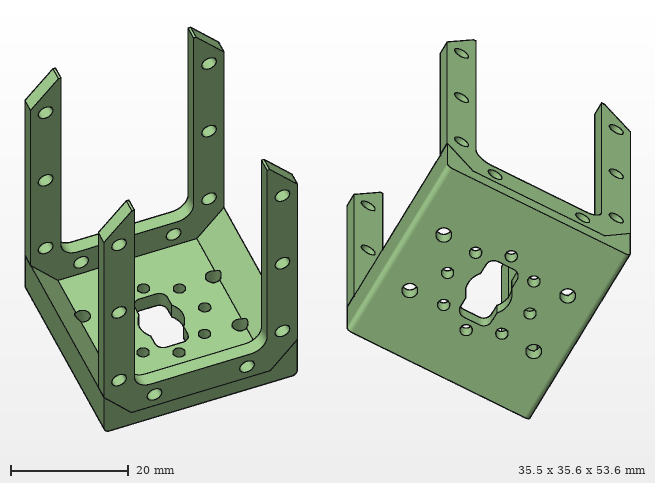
import cadquery as cq

length_x = 35.5
base_width = 35.5
plate_width = 35.6
height = 53.6

floor_height = 3.0
floor_half_width = 12.75
slope_rise = 5.85
bottom_edge_radius = 1.0

plate_thickness = 2.5
leg_tip_y = 12.65
slot_width = 24.35
slot_bottom_height = 8.7
slot_corner_radius = 3.0
plate_hole_diameter = 2.7
plate_hole_pitch = 17.0
low_hole_height = 5.8
leg_hole_y = 15.0
leg_hole_start = 12.05
leg_hole_count = 3

window_length = 12.0
window_width = 6.0
window_corner_radius = 1.5
window_bore_diameter = 8.0
ring_radius = 8.0
ring_hole_diameter = 2.1
ring_hole_count = 8
mount_hole_diameter = 2.7
mount_hole_spacing_x = 12.0
mount_hole_spacing_y = 24.0

plate_half = plate_width / 2
base_half = base_width / 2
slope_run = plate_half - floor_half_width
base_edge_height = floor_height + slope_rise * (base_half - floor_half_width) / slope_run
plate_corner_height = floor_height + slope_rise
leg_shoulder_height = height - slope_rise


def through_base(sketch):
    """Extrude an outline from the underside to well above the raised edges."""
    return sketch.extrude(height)


def make_base():
    body = (
        cq.Workplane("YZ")
        .moveTo(-base_half, 0)
        .lineTo(base_half, 0)
        .lineTo(base_half, base_edge_height)
        .lineTo(floor_half_width, floor_height)
        .lineTo(-floor_half_width, floor_height)
        .lineTo(-base_half, base_edge_height)
        .close()
        .extrude(length_x / 2, both=True)
    )
    body = body.faces("<Z").edges("|X").fillet(bottom_edge_radius)

    plan = cq.Workplane("XY")
    window = through_base(plan.rect(window_length, window_width))
    window = window.edges("|Z").fillet(window_corner_radius)
    bore = through_base(plan.circle(window_bore_diameter / 2))

    ring = through_base(
        plan.polarArray(ring_radius, 0, 360, ring_hole_count).circle(ring_hole_diameter / 2)
    )
    mounts = through_base(
        plan.rect(mount_hole_spacing_x, mount_hole_spacing_y, forConstruction=True)
        .vertices()
        .circle(mount_hole_diameter / 2)
    )
    return body.cut(window).cut(bore).cut(ring).cut(mounts)


def make_side_plate(start_x):
    """U-shaped plate standing on the base, from start_x toward +X."""
    plane = cq.Workplane("YZ", origin=(start_x, 0, 0))
    plate = (
        plane.moveTo(-floor_half_width, floor_height)
        .lineTo(floor_half_width, floor_height)
        .lineTo(plate_half, plate_corner_height)
        .lineTo(plate_half, leg_shoulder_height)
        .lineTo(leg_tip_y, height)
        .lineTo(-leg_tip_y, height)
        .lineTo(-plate_half, leg_shoulder_height)
        .lineTo(-plate_half, plate_corner_height)
        .close()
        .extrude(plate_thickness)
    )

    slot = (
        plane.center(0, slot_bottom_height + height / 2)
        .rect(slot_width, height)
        .extrude(plate_thickness)
        .edges("|X")
        .fillet(slot_corner_radius)
    )
    plate = plate.cut(slot)

    hole_points = []
    for side in (-1, 1):
        hole_points.append((side * plate_hole_pitch / 2, low_hole_height))
        for row in range(leg_hole_count):
            hole_points.append((side * leg_hole_y, leg_hole_start + row * plate_hole_pitch))
    holes = plane.pushPoints(hole_points).circle(plate_hole_diameter / 2).extrude(plate_thickness)
    return plate.cut(holes)


base = make_base()
side_plates = []
for plate_start_x in (-length_x / 2, length_x / 2 - plate_thickness):
    side_plates.append(make_side_plate(plate_start_x).val())

result = cq.Compound.makeCompound([base.val(), *side_plates])